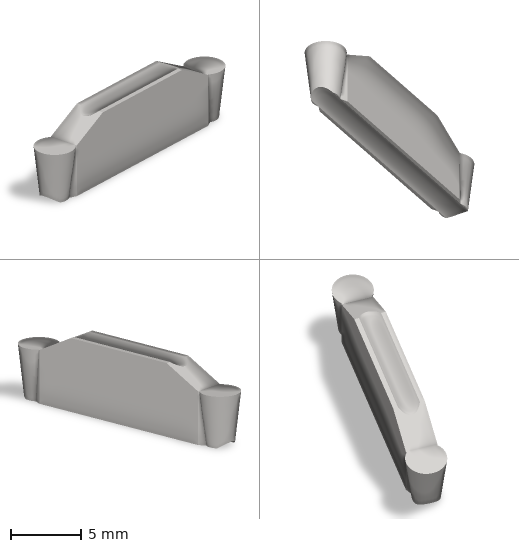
import cadquery as cq
import math

LENGTH = 20.0
HEIGHT = 5.5

BODY_WIDTH = 2.35
BODY_LENGTH = 14.88
CREST_LENGTH = 9.0

TIP_RADIUS = 1.5
TIP_HEIGHT = 4.0
TIP_DRAFT = 6.5
NECK_END_WIDTH = 1.38

TOP_GROOVE_WIDTH = 1.65
TOP_GROOVE_DEPTH = 0.35
BASE_GROOVE_WIDTH = 1.85
BASE_GROOVE_DEPTH = 0.42

tip_centre = LENGTH / 2 - TIP_RADIUS
tip_foot_radius = TIP_RADIUS - TIP_HEIGHT * math.tan(math.radians(TIP_DRAFT))


def make_body():
    """Upright plate with a ramp at each end of its top."""
    half_length = BODY_LENGTH / 2
    half_crest = CREST_LENGTH / 2
    outline = [
        (-half_length, 0),
        (half_length, 0),
        (half_length, TIP_HEIGHT),
        (half_crest, HEIGHT),
        (-half_crest, HEIGHT),
        (-half_length, TIP_HEIGHT),
    ]
    return cq.Workplane("YZ").polyline(outline).close().extrude(BODY_WIDTH / 2, both=True)


def make_end(side):
    """Conical tip and its tapered neck; side is +1 or -1 along Y."""
    tip = (
        cq.Workplane("XY")
        .center(0, side * tip_centre)
        .circle(tip_foot_radius)
        .workplane(offset=TIP_HEIGHT)
        .circle(TIP_RADIUS)
        .loft(ruled=True)
    )
    body_end = side * BODY_LENGTH / 2
    neck_end = side * tip_centre
    neck = (
        cq.Workplane("XY")
        .polyline([
            (-BODY_WIDTH / 2, body_end),
            (BODY_WIDTH / 2, body_end),
            (NECK_END_WIDTH / 2, neck_end),
            (-NECK_END_WIDTH / 2, neck_end),
        ])
        .close()
        .extrude(TIP_HEIGHT)
    )
    return tip.union(neck)


def make_groove_cutter(width, depth, level, inward):
    """Full-length cylinder cutting a groove; inward is the Z direction into the part."""
    radius = (width**2 / 4 + depth**2) / (2 * depth)
    centre_z = level + inward * (depth - radius)
    return cq.Workplane("XZ").center(0, centre_z).circle(radius).extrude(LENGTH / 2, both=True)


result = make_body()
for end_side in (-1, 1):
    result = result.union(make_end(end_side))
result = result.cut(make_groove_cutter(TOP_GROOVE_WIDTH, TOP_GROOVE_DEPTH, HEIGHT, -1))
result = result.cut(make_groove_cutter(BASE_GROOVE_WIDTH, BASE_GROOVE_DEPTH, 0, 1))